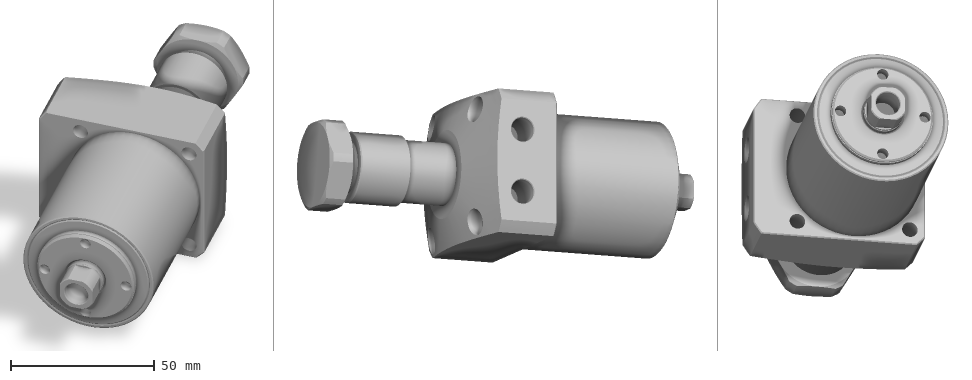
import cadquery as cq
import math

EDGE_BREAK = 0.4

FLANGE_LEFT = 35.5
FLANGE_RIGHT = 25.5
FLANGE_HEIGHT = 51.0
FLANGE_LENGTH = 28.0
PORT_CORNER_RADIUS = 41.5
RIGHT_CORNER_CHAMFER = 3.0
DOME_FLAT_RADIUS = 15.6
DOME_ANGLE = 15.0
MOUNT_SPACING = 40.0
MOUNT_DIAMETER = 5.5
SCREW_HEAD_DIAMETER = 9.2
SCREW_SEAT_Y = 20.0
PORT_SPACING = 22.0
PORT_Y = 13.0
PORT_DIAMETER = 8.5
PORT_DEPTH = 15.0
PORT_CHAMFER = 0.3

BARREL_RADIUS = 24.0
BARREL_LENGTH = 51.0

COVER_RADIUS = 22.4
COVER_SEAT_DEPTH = 6.0
COVER_BOSS_RADIUS = 18.0
COVER_BOSS_HEIGHT = 3.0
COVER_STEP_HEIGHT = 1.8
COVER_STEP_RADIUS = 17.8
COVER_STEP_CHAMFER = 0.6
COVER_BORE_CHAMFER = 0.7
SPANNER_HOLE_COUNT = 4
SPANNER_HOLE_CIRCLE_RADIUS = 15.0
SPANNER_HOLE_DIAMETER = 4.0
SPANNER_HOLE_DEPTH = 4.0

STEM_RADIUS = 6.75
STEM_LENGTH = 10.0
STEM_SHOULDER_RADIUS = 7.0
STEM_SHOULDER_LENGTH = 1.3
STEM_SHOULDER_CHAMFER = 0.2
STEM_FLAT_COUNT = 4
STEM_ACROSS_FLATS = 12.0
STEM_FLAT_LENGTH = 8.0
STEM_END_CHAMFER = 0.35
STEM_BORE_DIAMETER = 8.5
STEM_BORE_DEPTH = 10.0
STEM_BORE_CHAMFER = 0.3

ROD_RADIUS = 11.0
ROD_PROTRUSION = 17.5
COLLAR_RADIUS = 12.5
COLLAR_LENGTH = 19.0
NECK_RADIUS = 9.3
NECK_LENGTH = 4.0
NECK_FLARE_LENGTH = 3.0
NECK_HEAD_RADIUS = 10.4
HEX_SIDE_COUNT = 6
HEX_ACROSS_FLATS = 30.0
HEX_CORNER_DIAMETER = 33.0
HEX_THICKNESS = 9.0
HEX_FACE_DIAMETER = 30.0
HEX_CHAMFER_ANGLE = 30.0

BARREL_END = -BARREL_LENGTH
COVER_SEAT_Y = BARREL_END + COVER_SEAT_DEPTH
COVER_END = BARREL_END - COVER_BOSS_HEIGHT
STEM_END = COVER_END - STEM_LENGTH
COLLAR_START = FLANGE_LENGTH + ROD_PROTRUSION
COLLAR_END = COLLAR_START + COLLAR_LENGTH
HEX_START = COLLAR_END + NECK_LENGTH


def cylinder(radius, y_start, y_end):
    """Cylinder on the Y axis between two Y positions."""
    return cq.Workplane("XZ", origin=(0, y_start, 0)).circle(radius).extrude(y_start - y_end)


def revolved(profile):
    """Solid of revolution about the Y axis from a closed (radius, y) profile."""
    return profile.close().revolve(360, (0, 0, 0), (0, 1, 0))


def mount_cylinders(diameter, y_start):
    """Cylinders at the four mounting positions, from y_start to the rod-side face."""
    return (
        cq.Workplane("XZ", origin=(0, y_start, 0))
        .rect(MOUNT_SPACING, MOUNT_SPACING, forConstruction=True)
        .vertices()
        .circle(diameter / 2)
        .extrude(y_start - FLANGE_LENGTH)
    )


def make_flange():
    """Rectangular flange with mounting holes and two ports on its -X side."""
    flange = (
        cq.Workplane("XZ")
        .center((FLANGE_RIGHT - FLANGE_LEFT) / 2, 0)
        .rect(FLANGE_LEFT + FLANGE_RIGHT, FLANGE_HEIGHT)
        .extrude(-FLANGE_LENGTH)
        .edges("|Y and >X")
        .chamfer(RIGHT_CORNER_CHAMFER)
    )
    dome_drop = (PORT_CORNER_RADIUS - DOME_FLAT_RADIUS) * math.tan(math.radians(DOME_ANGLE))
    envelope = revolved(
        cq.Workplane("XY")
        .lineTo(PORT_CORNER_RADIUS, 0)
        .lineTo(PORT_CORNER_RADIUS, FLANGE_LENGTH - dome_drop)
        .lineTo(DOME_FLAT_RADIUS, FLANGE_LENGTH)
        .lineTo(0, FLANGE_LENGTH)
    )
    flange = flange.intersect(envelope).faces("<Y").chamfer(EDGE_BREAK)
    mount_holes = mount_cylinders(MOUNT_DIAMETER, 0)
    screw_seats = mount_cylinders(SCREW_HEAD_DIAMETER, SCREW_SEAT_Y)
    ports = (
        cq.Workplane("YZ", origin=(-FLANGE_LEFT, PORT_Y, 0))
        .pushPoints([(0, -PORT_SPACING / 2), (0, PORT_SPACING / 2)])
        .circle(PORT_DIAMETER / 2)
        .extrude(PORT_DEPTH)
    )
    flange = flange.cut(mount_holes).cut(screw_seats).cut(ports)
    return flange.faces("<X").edges("%CIRCLE").chamfer(PORT_CHAMFER)


def make_housing():
    """Flange and barrel in one piece, bored for the rod and the cover."""
    barrel = cylinder(BARREL_RADIUS, 0, BARREL_END).cut(cylinder(COVER_RADIUS, COVER_SEAT_Y, BARREL_END))
    barrel = barrel.faces("<Y").chamfer(EDGE_BREAK)
    return make_flange().union(barrel).cut(cylinder(ROD_RADIUS, 0, FLANGE_LENGTH))


def make_cover():
    """End cover seated in the barrel, with a stepped boss and spanner holes."""
    disc = cylinder(COVER_RADIUS, COVER_SEAT_Y, BARREL_END).faces("<Y").chamfer(EDGE_BREAK)
    boss = cylinder(COVER_BOSS_RADIUS, BARREL_END, BARREL_END - COVER_STEP_HEIGHT)
    step = cylinder(COVER_STEP_RADIUS, BARREL_END, COVER_END).faces("<Y").chamfer(COVER_STEP_CHAMFER)
    spanner_holes = (
        cq.Workplane("XZ", origin=(0, COVER_END, 0))
        .polarArray(SPANNER_HOLE_CIRCLE_RADIUS, 0, 360, SPANNER_HOLE_COUNT)
        .circle(SPANNER_HOLE_DIAMETER / 2)
        .extrude(-SPANNER_HOLE_DEPTH)
    )
    return (
        disc.union(boss)
        .union(step)
        .cut(cylinder(STEM_SHOULDER_RADIUS, COVER_SEAT_Y, COVER_END))
        .faces("<Y")
        .edges(cq.selectors.RadiusNthSelector(0))
        .chamfer(COVER_BORE_CHAMFER)
        .cut(spanner_holes)
    )


def make_stem():
    """Hollow stem with a shoulder in the cover and flats on its free end."""
    shoulder = cylinder(STEM_SHOULDER_RADIUS, COVER_SEAT_Y, COVER_END - STEM_SHOULDER_LENGTH)
    shoulder = shoulder.faces("<Y").chamfer(STEM_SHOULDER_CHAMFER)
    stem = shoulder.union(
        cylinder(STEM_RADIUS, COVER_END, STEM_END).faces("<Y").chamfer(STEM_END_CHAMFER)
    )
    flat_cutter = (
        cq.Workplane("XY")
        .box(STEM_RADIUS, STEM_FLAT_LENGTH, 2 * STEM_RADIUS, centered=(False, False, True))
        .translate((STEM_ACROSS_FLATS / 2, STEM_END, 0))
    )
    for index in range(STEM_FLAT_COUNT):
        stem = stem.cut(flat_cutter.rotate((0, 0, 0), (0, 1, 0), index * 360 / STEM_FLAT_COUNT))
    stem = stem.cut(cylinder(STEM_BORE_DIAMETER / 2, STEM_END, STEM_END + STEM_BORE_DEPTH))
    bore_rim = stem.faces("<Y").edges(cq.selectors.RadiusNthSelector(0))
    return bore_rim.chamfer(STEM_BORE_CHAMFER)


def make_rod():
    """Plain rod running from the flange bore to the collar."""
    return cylinder(ROD_RADIUS, 0, COLLAR_START)


def make_collar():
    """Sleeve between the rod end and the bolt neck."""
    collar = cylinder(COLLAR_RADIUS, COLLAR_START, COLLAR_END).faces("<Y or >Y").chamfer(EDGE_BREAK)
    return collar.cut(cylinder(NECK_RADIUS, COLLAR_START, COLLAR_END))


def make_bolt():
    """Hexagon bolt whose neck fills the collar."""
    hex_end = HEX_START + HEX_THICKNESS
    corner_radius = HEX_CORNER_DIAMETER / 2
    face_radius = HEX_FACE_DIAMETER / 2
    chamfer_depth = (corner_radius - face_radius) * math.tan(math.radians(HEX_CHAMFER_ANGLE))
    blank = revolved(
        cq.Workplane("XY")
        .moveTo(0, HEX_START)
        .lineTo(face_radius, HEX_START)
        .lineTo(corner_radius, HEX_START + chamfer_depth)
        .lineTo(corner_radius, hex_end - chamfer_depth)
        .lineTo(face_radius, hex_end)
        .lineTo(0, hex_end)
    )
    half_side_angle = 180 / HEX_SIDE_COUNT
    head = (
        cq.Workplane("XZ", origin=(0, HEX_START, 0))
        .polygon(HEX_SIDE_COUNT, HEX_ACROSS_FLATS, circumscribed=True)
        .extrude(-HEX_THICKNESS)
        .rotate((0, 0, 0), (0, 1, 0), half_side_angle)
        .intersect(blank)
    )
    shank = revolved(
        cq.Workplane("XY")
        .moveTo(0, COLLAR_START)
        .lineTo(NECK_RADIUS, COLLAR_START)
        .lineTo(NECK_RADIUS, HEX_START - NECK_FLARE_LENGTH)
        .lineTo(NECK_HEAD_RADIUS, HEX_START)
        .lineTo(0, HEX_START)
    )
    return head.union(shank)


housing = make_housing()
cover = make_cover()
stem = make_stem()
rod = make_rod()
collar = make_collar()
bolt = make_bolt()

result = cq.Compound.makeCompound(
    [housing.val(), cover.val(), stem.val(), rod.val(), collar.val(), bolt.val()]
)